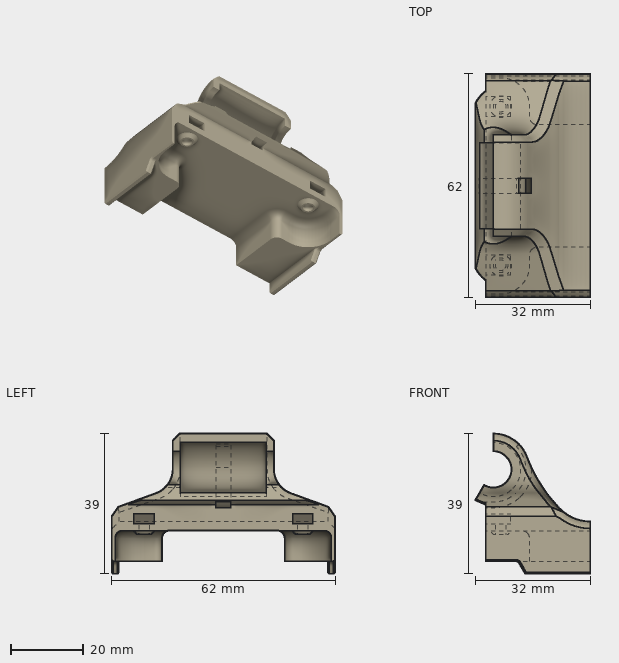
import cadquery as cq
import math

LENGTH = 62.0
HALF_LENGTH = LENGTH / 2
BODY_DEPTH = 29.1
BACK_HEIGHT = 14.6
EDGE_CHAMFER = 2.0

AXIS_X = 2.1
HOOK_RADIUS = 10.0
BORE_RADIUS = 5.0
POCKET_RADIUS = 7.5
HOOK_TOP = 39.0
AXIS_Z = HOOK_TOP - HOOK_RADIUS
HOOK_HALF_WIDTH = 14.1
CHEEK_THICKNESS = 2.1
POCKET_HALF_WIDTH = HOOK_HALF_WIDTH - CHEEK_THICKNESS

ARC_JOIN_STEEPNESS = math.radians(46.6)
BACK_ARC_RADIUS = 12.0
BACK_ARC_CENTER_Z = BACK_HEIGHT + BACK_ARC_RADIUS

LIP_REACH = 2.9
LIP_TIP_Z = 20.45
LIP_ROOT_Z = 19.2
LIP_TOP_X = -0.45
LIP_TIP_HALF_WIDTH = 22.75
LIP_ROOT_HALF_WIDTH = 26.3
LIP_CORNER_RADIUS = 9.9

SHOULDER_ANGLE = math.radians(20)
SHOULDER_RADIUS = 7.0
SHOULDER_CURVE_ANGLE = math.pi / 2 - SHOULDER_ANGLE
SHOULDER_CENTER_Y = HOOK_HALF_WIDTH + SHOULDER_RADIUS
SHOULDER_CURVE_END_Y = SHOULDER_CENTER_Y - SHOULDER_RADIUS * math.cos(SHOULDER_CURVE_ANGLE)
SHOULDER_CURVE_END_Z = AXIS_Z - SHOULDER_RADIUS * math.sin(SHOULDER_CURVE_ANGLE)
SHOULDER_END_Z = SHOULDER_CURVE_END_Z - (HALF_LENGTH - SHOULDER_CURVE_END_Y) * math.tan(SHOULDER_ANGLE)

FACET_FRONT_X = 18.15
FACET_LOW_X = 20.45
FACET_BACK_X = 21.6

SKIRT_BOTTOM = 3.5
FOOT_START_X = 11.0
FOOT_ANGLE = math.radians(60)
FOOT_TOP_X = FOOT_START_X - SKIRT_BOTTOM / math.tan(FOOT_ANGLE)
FOOT_THICKNESS = 2.0
FOOT_CORNER_RADIUS = 1.0
FOOT_CHAMFER = 0.45

CEILING_Z = 12.0
WALL = 1.0
HOLLOW_DEPTH = 12.1
HOLLOW_CORNER_RADIUS = 8.0
CHANNEL_HALF_WIDTH = 17.0
CHANNEL_CORNER_RADIUS = 2.2
CEILING_FILLET = 2.1

SCREW_X = HOLLOW_DEPTH - HOLLOW_CORNER_RADIUS
SCREW_Y = HALF_LENGTH - WALL - HOLLOW_CORNER_RADIUS
SCREW_DIAMETER = 3.0
BOSS_DIAMETER = 6.0
BOSS_HEIGHT = 1.0
BOSS_TIP_DIAMETER = BOSS_DIAMETER - 2 * BOSS_HEIGHT
NUT_WIDTH = 5.6
NUT_SLOT_BOTTOM = 13.95
NUT_SLOT_TOP = 16.75

TIE_HALF_WIDTH = 2.05
TIE_INNER_RADIUS = 9.0
TIE_OUTER_RADIUS = 10.6
TIE_START_ANGLE = math.radians(45)

MARGIN = 3.1
ENDS = (-1, 1)


def around_axis(radius, angle):
    """XZ point at a radius from the hook axis, with the angle measured up from +X."""
    return (AXIS_X + radius * math.cos(angle), AXIS_Z + radius * math.sin(angle))


def box(x_range, y_range, z_range):
    """Block spanning the given ranges."""
    low, high = zip(x_range, y_range, z_range)
    size = [b - a for a, b in zip(low, high)]
    return cq.Workplane("XY").box(*size, centered=False).translate(low)


def edges_near(body, points):
    """Edges of a body that lie closest to the given points."""
    edges = body.edges().vals()
    probes = [cq.Vertex.makeVertex(*point) for point in points]
    return body.newObject([min(edges, key=probe.distance) for probe in probes])


def side_prism():
    """Prism along Y with the hook, the curved back, the lip and the foot outline."""
    steepness = ARC_JOIN_STEEPNESS

    def below(center, radius, angle):
        """Point of a hollow arc where it falls at the given angle."""
        return (center[0] - radius * math.sin(angle), center[1] - radius * math.cos(angle))

    back_center = (BODY_DEPTH, BACK_ARC_CENTER_Z)
    arc_join = below(back_center, BACK_ARC_RADIUS, steepness)

    join_x = arc_join[0] - AXIS_X
    join_z = arc_join[1] - AXIS_Z
    offset = join_x * math.sin(steepness) + join_z * math.cos(steepness)
    shallow_radius = (join_x**2 + join_z**2 - HOOK_RADIUS**2) / (2 * (HOOK_RADIUS - offset))
    shallow_center = below(arc_join, -shallow_radius, steepness)
    hook_steepness = math.atan2(shallow_center[0] - AXIS_X, shallow_center[1] - AXIS_Z)
    hook_end = around_axis(HOOK_RADIUS, math.pi / 2 - hook_steepness)
    shallow_middle = below(shallow_center, shallow_radius, (hook_steepness + steepness) / 2)
    back_middle = below(back_center, BACK_ARC_RADIUS, steepness / 2)
    lip_top_z = AXIS_Z - math.sqrt(BORE_RADIUS**2 - (LIP_TOP_X - AXIS_X) ** 2)

    prism = (
        cq.Workplane("XZ")
        .moveTo(AXIS_X, HOOK_TOP)
        .threePointArc(around_axis(HOOK_RADIUS, (math.pi - hook_steepness) / 2), hook_end)
        .threePointArc(shallow_middle, arc_join)
        .threePointArc(back_middle, (BODY_DEPTH, BACK_HEIGHT))
        .lineTo(BODY_DEPTH, 0)
        .lineTo(FOOT_START_X, 0)
        .lineTo(FOOT_TOP_X, SKIRT_BOTTOM)
        .lineTo(0, SKIRT_BOTTOM)
        .lineTo(0, LIP_ROOT_Z)
        .lineTo(-LIP_REACH, LIP_TIP_Z)
        .lineTo(LIP_TOP_X, lip_top_z)
        .threePointArc(around_axis(BORE_RADIUS, 0), (AXIS_X, AXIS_Z + BORE_RADIUS))
        .close()
        .extrude(HALF_LENGTH, both=True)
    )
    return edges_near(prism, [(FOOT_TOP_X, 0, SKIRT_BOTTOM)]).fillet(FOOT_CORNER_RADIUS)


def shoulder_prism():
    """Prism along X with the hook sides, shoulder curves and sloping shoulders."""
    curve_middle_y = SHOULDER_CENTER_Y - SHOULDER_RADIUS * math.cos(SHOULDER_CURVE_ANGLE / 2)
    curve_middle_z = AXIS_Z - SHOULDER_RADIUS * math.sin(SHOULDER_CURVE_ANGLE / 2)
    return (
        cq.Workplane("YZ", origin=(-LIP_REACH, 0, 0))
        .moveTo(0, 0)
        .lineTo(HALF_LENGTH, 0)
        .lineTo(HALF_LENGTH, SHOULDER_END_Z)
        .lineTo(SHOULDER_CURVE_END_Y, SHOULDER_CURVE_END_Z)
        .threePointArc((curve_middle_y, curve_middle_z), (HOOK_HALF_WIDTH, AXIS_Z))
        .lineTo(HOOK_HALF_WIDTH, HOOK_TOP)
        .lineTo(0, HOOK_TOP)
        .mirrorY()
        .extrude(LIP_REACH + BODY_DEPTH)
    )


def facet_cutter():
    """Block whose lower face is the flat facet at the +Y end."""
    low_radius = BACK_ARC_RADIUS + EDGE_CHAMFER

    def back_arc_z(x, radius):
        return BACK_ARC_CENTER_Z - math.sqrt(radius**2 - (BODY_DEPTH - x) ** 2)

    front = cq.Vector(
        FACET_FRONT_X,
        HALF_LENGTH - EDGE_CHAMFER * math.cos(SHOULDER_ANGLE),
        SHOULDER_END_Z + EDGE_CHAMFER * math.sin(SHOULDER_ANGLE),
    )
    low = cq.Vector(FACET_LOW_X, HALF_LENGTH, back_arc_z(FACET_LOW_X, low_radius))
    back = cq.Vector(
        FACET_BACK_X,
        HALF_LENGTH - EDGE_CHAMFER,
        back_arc_z(FACET_BACK_X, BACK_ARC_RADIUS),
    )
    outward = (back - front).cross(low - front)
    facet = cq.Plane(origin=low, xDir=back - front, normal=outward)
    return cq.Workplane(facet).rect(2 * MARGIN, 2 * MARGIN).extrude(MARGIN)


def outer_shape():
    """Side and shoulder prisms crossed, with all upper outline edges chamfered."""
    side = side_prism()
    shoulders = shoulder_prism()
    crossed = side.intersect(shoulders)

    rim_x, rim_z = around_axis(HOOK_RADIUS, math.pi / 4)
    hook_rims = [(rim_x, end * HOOK_HALF_WIDTH, rim_z) for end in ENDS]
    side_rims = [(rim_x, end * HALF_LENGTH, rim_z) for end in ENDS]
    shoulder_rims = [(0, end * HALF_LENGTH, SHOULDER_END_Z) for end in ENDS]
    shape = edges_near(crossed, hook_rims).chamfer(EDGE_CHAMFER)
    shape = shape.intersect(edges_near(side, side_rims).chamfer(EDGE_CHAMFER))
    shape = shape.intersect(edges_near(shoulders, shoulder_rims).chamfer(EDGE_CHAMFER))
    facet = facet_cutter()
    return shape.cut(facet).cut(facet.mirror("XZ"))


def leg_envelope():
    """Space filled by the raised middle and the two chamfered end skirts."""
    leg_inside = HALF_LENGTH - FOOT_THICKNESS
    depth_range = (-LIP_REACH, BODY_DEPTH)
    skirt = side_prism().intersect(box(depth_range, (leg_inside, HALF_LENGTH), (0, HOOK_TOP)))
    bottom_rims = cq.selectors.BoxSelector(
        (-MARGIN, leg_inside - MARGIN, -MARGIN),
        (BODY_DEPTH - FOOT_CHAMFER, HALF_LENGTH + MARGIN, SKIRT_BOTTOM + FOOT_CHAMFER),
    )
    skirt = skirt.edges("not |Y").edges(bottom_rims).chamfer(FOOT_CHAMFER)
    middle_end = leg_inside + FOOT_CHAMFER
    middle = box(depth_range, (-middle_end, middle_end), (SKIRT_BOTTOM, HOOK_TOP))
    return middle.union(skirt).union(skirt.mirror("XZ"))


def lip_corner_cutter():
    """Block that trims the +Y end of the lip to a curved corner."""
    return (
        cq.Workplane("XY", origin=(0, 0, CEILING_Z))
        .moveTo(-LIP_REACH, LIP_TIP_HALF_WIDTH)
        .radiusArc((0, LIP_ROOT_HALF_WIDTH), LIP_CORNER_RADIUS)
        .lineTo(0, HALF_LENGTH)
        .lineTo(-LIP_REACH - MARGIN, HALF_LENGTH)
        .lineTo(-LIP_REACH - MARGIN, LIP_TIP_HALF_WIDTH)
        .close()
        .extrude(HOOK_TOP - CEILING_Z)
    )


def hook_pocket():
    """Wider bore between the two end cheeks of the hook."""
    return (
        cq.Workplane("XZ")
        .center(AXIS_X, AXIS_Z)
        .circle(POCKET_RADIUS)
        .extrude(POCKET_HALF_WIDTH, both=True)
    )


def tie_passage():
    """Curved slot from the back of the hook, running out level under the lip."""
    middle_angle = (TIE_START_ANGLE - math.pi / 2) / 2
    return (
        cq.Workplane("XZ")
        .moveTo(*around_axis(TIE_OUTER_RADIUS, TIE_START_ANGLE))
        .threePointArc(
            around_axis(TIE_OUTER_RADIUS, middle_angle),
            (AXIS_X, AXIS_Z - TIE_OUTER_RADIUS),
        )
        .lineTo(-LIP_REACH - MARGIN, AXIS_Z - TIE_OUTER_RADIUS)
        .lineTo(-LIP_REACH - MARGIN, AXIS_Z - TIE_INNER_RADIUS)
        .lineTo(AXIS_X, AXIS_Z - TIE_INNER_RADIUS)
        .threePointArc(
            around_axis(TIE_INNER_RADIUS, middle_angle),
            around_axis(TIE_INNER_RADIUS, TIE_START_ANGLE),
        )
        .close()
        .extrude(TIE_HALF_WIDTH, both=True)
    )


def underside_hollow():
    """Front recess between the end walls plus the channel running out at the back."""
    front_x = -MARGIN
    back_x = BODY_DEPTH + MARGIN
    side_y = HALF_LENGTH - WALL
    hollow = (
        cq.Workplane("XY", origin=(0, 0, -MARGIN))
        .moveTo(front_x, 0)
        .lineTo(front_x, side_y)
        .lineTo(HOLLOW_DEPTH - HOLLOW_CORNER_RADIUS, side_y)
        .radiusArc((HOLLOW_DEPTH, side_y - HOLLOW_CORNER_RADIUS), HOLLOW_CORNER_RADIUS)
        .lineTo(HOLLOW_DEPTH, CHANNEL_HALF_WIDTH + CHANNEL_CORNER_RADIUS)
        .radiusArc(
            (HOLLOW_DEPTH + CHANNEL_CORNER_RADIUS, CHANNEL_HALF_WIDTH),
            -CHANNEL_CORNER_RADIUS,
        )
        .lineTo(back_x, CHANNEL_HALF_WIDTH)
        .lineTo(back_x, 0)
        .mirrorX()
        .extrude(CEILING_Z + MARGIN)
    )
    return hollow.faces(">Z").edges().fillet(CEILING_FILLET)


def screw_boss(end):
    """Boss tapering down from the ceiling of the hollow at 45 degrees, for one end."""
    return (
        cq.Workplane("XY", origin=(SCREW_X, end * SCREW_Y, CEILING_Z))
        .circle(BOSS_DIAMETER / 2)
        .workplane(offset=-BOSS_HEIGHT)
        .circle(BOSS_TIP_DIAMETER / 2)
        .loft()
    )


def screw_cutter(end):
    """Screw hole and the nut slot above it, for one end."""
    center_y = end * SCREW_Y
    hole_origin = (SCREW_X, center_y, CEILING_Z - MARGIN)
    hole_length = NUT_SLOT_TOP - CEILING_Z + MARGIN
    hole = cq.Workplane("XY", origin=hole_origin).circle(SCREW_DIAMETER / 2).extrude(hole_length)
    slot = box(
        (-MARGIN, SCREW_X + NUT_WIDTH / 2),
        (center_y - NUT_WIDTH / 2, center_y + NUT_WIDTH / 2),
        (NUT_SLOT_BOTTOM, NUT_SLOT_TOP),
    )
    return hole.union(slot)


part = outer_shape().intersect(leg_envelope())
lip_corner = lip_corner_cutter()
part = part.cut(lip_corner).cut(lip_corner.mirror("XZ"))
part = part.cut(hook_pocket()).cut(tie_passage()).cut(underside_hollow())
for end in ENDS:
    part = part.union(screw_boss(end)).cut(screw_cutter(end))

result = part